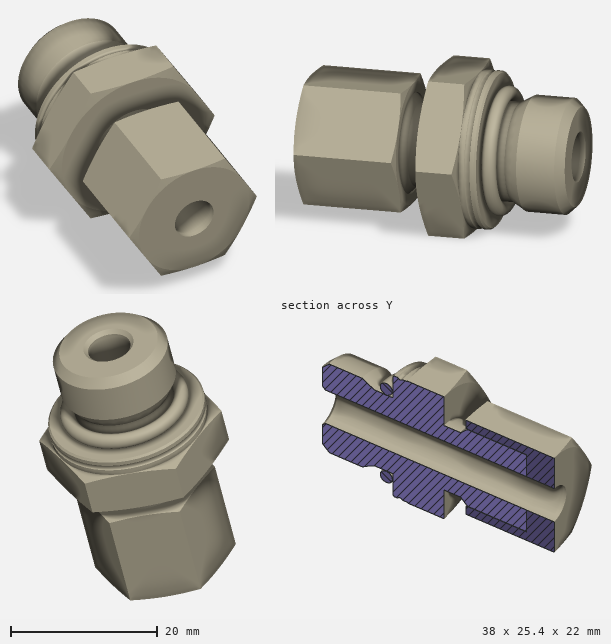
import cadquery as cq
import math


total_length = 38.0
bore_radius = 2.95
bore_chamfer = 0.55

stud_radius = 8.0
stud_chamfer_length = 1.18
stud_chamfer_height = 1.15
stud_end = 6.57
neck_start = 8.55
neck_radius = 6.88

ring_section_radius = 1.03

collar_start = 11.5
collar_radius = 10.9
collar_chamfer = 0.25
groove_start = 12.35
groove_width = 0.8
groove_depth = 0.23

body_hex_start = 13.95
body_hex_end = 20.0
body_hex_flats = 22.0

shank_radius = 5.85
shank_end = 22.65
tail_radius = 7.0
tail_taper_length = tail_radius - shank_radius

nut_start = 23.5
nut_flats = 17.0
nut_end_wall = 4.55
tail_end = total_length - nut_end_wall

hex_chamfer_angle = math.radians(15)


def turned(profile):
    """Solid of revolution about X from (x, radius) points."""
    return cq.Workplane("XY").polyline(profile).close().revolve(360, (0, 0, 0), (1, 0, 0))


def chamfered_hex(start, end, across_flats):
    """Hexagon along X with two flats facing +Z and -Z and turned-off corners at both ends."""
    flat_radius = across_flats / 2
    corner_radius = flat_radius / math.cos(math.radians(30))
    chamfer_length = (corner_radius - flat_radius) * math.tan(hex_chamfer_angle)
    hexagon = (
        cq.Workplane("YZ", origin=(start, 0, 0))
        .polygon(6, 2 * corner_radius)
        .extrude(end - start)
    )
    turned_envelope = turned([
        (start, 0),
        (start, flat_radius),
        (start + chamfer_length, corner_radius),
        (end - chamfer_length, corner_radius),
        (end, flat_radius),
        (end, 0),
    ])
    return hexagon.intersect(turned_envelope)


def cylinder(start, end, radius):
    """Round bar along X."""
    return cq.Workplane("YZ", origin=(start, 0, 0)).circle(radius).extrude(end - start)


def make_stud():
    """Stud end with its lead-in chamfer, taper and neck."""
    return turned([
        (0, 0),
        (0, stud_radius - stud_chamfer_height),
        (stud_chamfer_length, stud_radius),
        (stud_end, stud_radius),
        (neck_start, neck_radius),
        (collar_start, neck_radius),
        (collar_start, 0),
    ])


def make_collar():
    """Collar with a chamfered front edge and a rounded groove around its rim."""
    groove_middle = (groove_start + groove_width / 2, collar_radius - groove_depth)
    groove_end = (groove_start + groove_width, collar_radius)
    return (
        cq.Workplane("XY")
        .moveTo(collar_start, 0)
        .lineTo(collar_start, collar_radius - collar_chamfer)
        .lineTo(collar_start + collar_chamfer, collar_radius)
        .lineTo(groove_start, collar_radius)
        .threePointArc(groove_middle, groove_end)
        .lineTo(body_hex_start, collar_radius)
        .lineTo(body_hex_start, 0)
        .close()
        .revolve(360, (0, 0, 0), (1, 0, 0))
    )


def make_tail():
    """Shank widening to the threaded tail."""
    return turned([
        (body_hex_end, 0),
        (body_hex_end, shank_radius),
        (shank_end, shank_radius),
        (shank_end + tail_taper_length, tail_radius),
        (tail_end, tail_radius),
        (tail_end, 0),
    ])


def make_body():
    """Fitting body: stud, collar, hexagon and tail, bored through."""
    body_hex = chamfered_hex(body_hex_start, body_hex_end, body_hex_flats)
    outside = make_stud().union(make_collar()).union(body_hex).union(make_tail())
    bore = turned([
        (0, 0),
        (0, bore_radius + bore_chamfer),
        (bore_chamfer, bore_radius),
        (tail_end, bore_radius),
        (tail_end, 0),
    ])
    return outside.cut(bore)


def make_sealing_ring():
    """Round-section ring seated in the corner of neck and collar."""
    section_center = (collar_start - ring_section_radius, neck_radius + ring_section_radius)
    return (
        cq.Workplane("XY")
        .moveTo(*section_center)
        .circle(ring_section_radius)
        .revolve(360, (0, 0, 0), (1, 0, 0))
    )


def make_nut():
    """Union nut: hexagon with a recess for the tail and a hole through its end wall."""
    return (
        chamfered_hex(nut_start, total_length, nut_flats)
        .cut(cylinder(nut_start, tail_end, tail_radius))
        .cut(cylinder(tail_end, total_length, bore_radius))
    )


body = make_body()
sealing_ring = make_sealing_ring()
nut = make_nut()

result = cq.Compound.makeCompound([body.solids().val(), sealing_ring.solids().val(), nut.solids().val()])